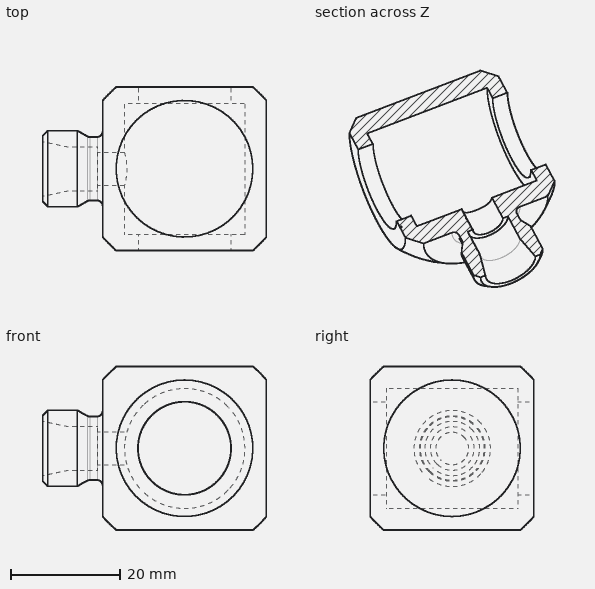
import cadquery as cq
import math

total_length = 41.0
block_size = 30.0
face_circle_diameter = 25.0
block_front = total_length - block_size
block_center = block_front + block_size / 2
sphere_radius = math.hypot(block_size / 2, face_circle_diameter / 2)

mouth_diameter = 17.0
chamber_diameter = 22.0
lip_thickness = 3.0

nozzle_radius = 14.0 / 2
neck_radius = 11.7 / 2
tip_chamfer = 1.0
collar_end = 6.4
shoulder_angle = math.radians(30)
neck_fillet = 1.0

seat_mouth_radius = 10.0 / 2
socket_radius = 8.0 / 2
socket_end = 10.0
seat_half_angle = math.radians(12)
passage_radius = 6.0 / 2

shoulder_end = collar_end + (nozzle_radius - neck_radius) / math.tan(shoulder_angle)
blend_reach = neck_fillet * math.tan(shoulder_angle / 2)
blend_start_x = shoulder_end - blend_reach * math.cos(shoulder_angle)
blend_start_radius = neck_radius + blend_reach * math.sin(shoulder_angle)
blend_end_x = shoulder_end + blend_reach
seat_depth = (seat_mouth_radius - socket_radius) / math.tan(seat_half_angle)


def revolve_about_x(profile):
    return profile.close().revolve(360, (0, 0, 0), (1, 0, 0))


def y_cylinder(diameter, start_y, end_y):
    return (
        cq.Workplane("XZ", origin=(block_center, start_y, 0))
        .circle(diameter / 2)
        .extrude(start_y - end_y)
    )


def make_block():
    """Cube whose edges and corners are rounded off by a concentric sphere."""
    cube = cq.Workplane("XY").box(block_size, block_size, block_size)
    return cube.intersect(cq.Workplane("XY").sphere(sphere_radius)).translate((block_center, 0, 0))


def make_nozzle():
    """Chamfered collar, conical shoulder and neck, blended into the block face."""
    root = block_front + lip_thickness
    profile = (
        cq.Workplane("XY")
        .moveTo(0, 0)
        .lineTo(0, nozzle_radius - tip_chamfer)
        .lineTo(tip_chamfer, nozzle_radius)
        .lineTo(collar_end, nozzle_radius)
        .lineTo(blend_start_x, blend_start_radius)
        .radiusArc((blend_end_x, neck_radius), -neck_fillet)
        .lineTo(block_front - neck_fillet, neck_radius)
        .radiusArc((block_front, neck_radius + neck_fillet), -neck_fillet)
        .lineTo(root, neck_radius + neck_fillet)
        .lineTo(root, 0)
    )
    return revolve_about_x(profile)


def make_nozzle_bore():
    profile = (
        cq.Workplane("XY")
        .moveTo(0, 0)
        .lineTo(0, seat_mouth_radius)
        .lineTo(seat_depth, socket_radius)
        .lineTo(socket_end, socket_radius)
        .lineTo(socket_end, passage_radius)
        .lineTo(block_center, passage_radius)
        .lineTo(block_center, 0)
    )
    return revolve_about_x(profile)


def make_cross_bore():
    front_y = -block_size / 2
    back_y = block_size / 2
    mouth = y_cylinder(mouth_diameter, front_y, back_y)
    chamber = y_cylinder(chamber_diameter, front_y + lip_thickness, back_y - lip_thickness)
    return mouth.union(chamber)


result = make_block().union(make_nozzle()).cut(make_cross_bore()).cut(make_nozzle_bore())